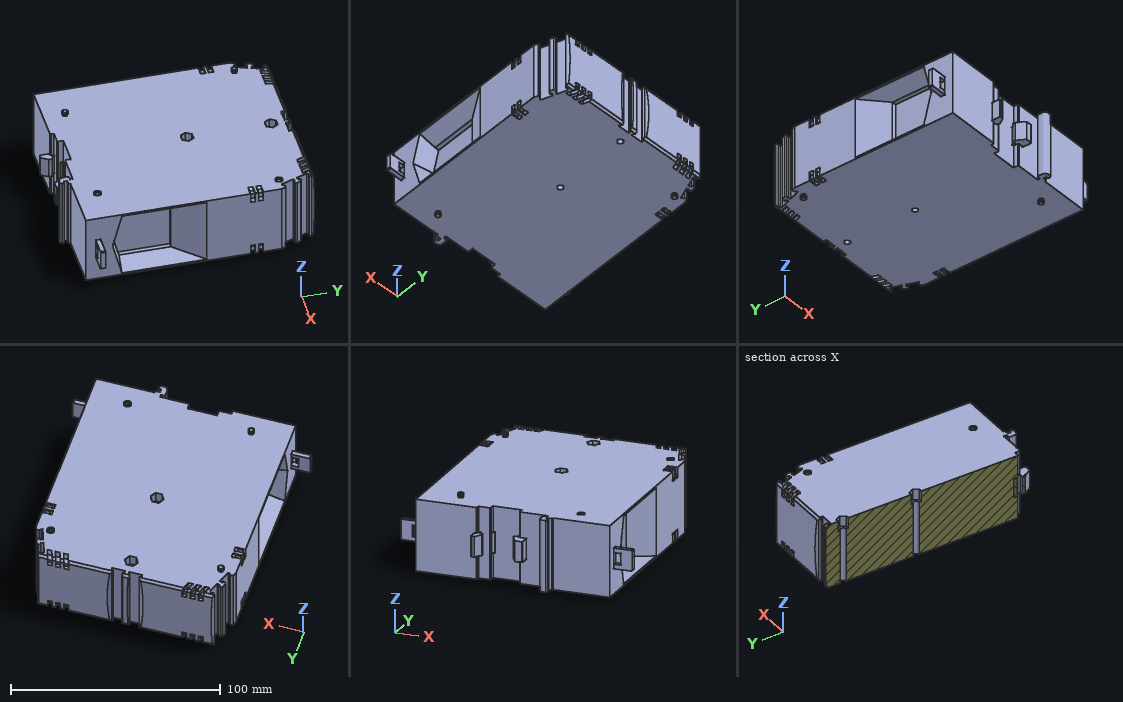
import cadquery as cq
import math

HALF_WIDTH = 50.0
HALF_HEIGHT = 18.3
CROWN_Y = 114.7
OUTSIDE = 1.2

SLOPE_ANGLE = 20.0
SHOULDER_FOOT = (-46.4, 97.8)
SHOULDER_TOP_Y = 111.3
CROWN_RISE = 0.5
END_CHAMFER = 1.2

RIB_NECK_WIDTH = 2.2
RIB_NECK_LENGTH = 1.4
RIB_HEAD_WIDTH = 3.6
RIB_HEAD_LENGTH = 1.9
RIB_HEAD_BEVEL = 0.7
SHOULDER_RIB_OFFSET = 7.7
END_GAP_HALF = 7.5
END_LIP_Y = 112.7

SEAT_Y = 1.9
SEAT_LEFT = -18.3
SEAT_RIGHT = 17.3
SLOT_Y = 4.9
SLOT_LEFT = -12.1
SLOT_RIGHT = 2.6
SEAT_BEVEL = 0.5

FOOT_LEFT = 15.2
FOOT_TIP = 19.6
FOOT_BOTTOM = -4.8
FOOT_RADIUS = 2.0
FOOT_STEM_RIGHT = 18.3
FOOT_TOE_Y = -2.8
FOOT_GROOVE_Y = -1.0

GROOVE_DEPTH = 1.02
END_GROOVE_DEPTH = 2.4
GROOVE_REACH = 5.0
SIDE_GROOVE_RAMP = 1.4
END_GROOVE_RAMP = 1.0
GROOVE_WIDTH = 2.3
GROOVE_PITCH = 4.1
SIDE_GROOVE_Y = (81.5, 85.4)
END_GROOVE_X = -40.6
END_GROOVE_COUNT = 3

POCKET_TAPER_DEPTH = 9.3
POCKET_STRAIGHT_DEPTH = 2.4
POCKET_TOP = 59.8
POCKET_RAMP = 15.4
POCKET_SHOULDER = 17.8
POCKET_POINT = 13.3
POCKET_HALF_HEIGHT = 17.3
POCKET_FLOOR_HALF_HEIGHT = 13.8
POCKET_END_DRAFT = 1.0
POCKET_POINT_DRAFT = 1.7

SCREW_Y = (62.9, 104.5)
SCREW_DIAMETER = 3.1
NUT_FLATS = 5.6
NUT_DEPTH = 6.0

UPPER_PIN = (42.6, 97.3)
LOWER_PIN = (31.0, 10.6)
PIN_NECK_DIAMETER = 2.4
PIN_HEAD_DIAMETER = 3.0
PIN_NECK_LENGTH = 0.8
PIN_LENGTH = 2.21
PIN_BEVEL = 0.4
SOCKET_DIAMETER = 3.6
SOCKET_BOTTOM_DIAMETER = 2.6
SOCKET_MOUTH_DEPTH = 0.8
SOCKET_DEPTH = 2.4

SLIDER_HALF_LENGTH = 59.53
SLIDER_HALF_HEIGHT = 5.3
SLIDER_BOTTOM = SLOT_Y
SLIDER_TOP = 7.3
SLIDER_RELIEF_Y = 5.6
TAB_CHAMFER = 0.5
WINDOW_END = 53.6
WINDOW_HALF_HEIGHT = 3.0


def prism(points, half_height):
    """Closed outline in XY, extruded equally above and below Z = 0."""
    return cq.Workplane("XY").polyline(points).close().extrude(half_height, both=True)


def mirrored(points):
    """The same points on the other side of X = 0, in reverse order."""
    return [(-x, y) for x, y in reversed(points)]


def housing_block():
    foot_x, foot_y = SHOULDER_FOOT
    shoulder_top_x = foot_x + (SHOULDER_TOP_Y - foot_y) * math.tan(math.radians(SLOPE_ANGLE))
    left_end = [
        (-HALF_WIDTH, 96.8),
        (-49.2, 99.0),
        (-47.7, 99.0),
        (-47.1, 98.1),
        SHOULDER_FOOT,
        (shoulder_top_x, SHOULDER_TOP_Y),
        (-42.0, 112.1),
        (-43.4, 112.0),
        (-44.3, 113.0),
        (-43.7, 114.0),
        (-43.1, CROWN_Y),
        (-9.0, CROWN_Y),
        (-6.9, 113.9),
        (-6.6, END_LIP_Y),
        (-END_GAP_HALF, END_LIP_Y),
        (-END_GAP_HALF, SHOULDER_TOP_Y),
    ]
    rail_side = [
        (HALF_WIDTH, 0),
        (20.9, 0),
        (20.3, FOOT_GROOVE_Y),
        (SEAT_RIGHT, FOOT_GROOVE_Y),
        (SEAT_RIGHT, SEAT_Y),
        (SLOT_RIGHT + SEAT_BEVEL, SEAT_Y),
        (SLOT_RIGHT, SEAT_Y + SEAT_BEVEL),
        (SLOT_RIGHT, SLOT_Y),
        (SLOT_LEFT, SLOT_Y),
        (SLOT_LEFT, SEAT_Y + SEAT_BEVEL),
        (SLOT_LEFT - SEAT_BEVEL, SEAT_Y),
        (SEAT_LEFT, SEAT_Y),
        (SEAT_LEFT, SEAT_BEVEL),
        (SEAT_LEFT - SEAT_BEVEL, 0),
        (-HALF_WIDTH, 0),
    ]
    return prism(left_end + mirrored(left_end) + rail_side, HALF_HEIGHT)


def rail_foot():
    return (
        cq.Workplane("XY")
        .moveTo(FOOT_STEM_RIGHT, FOOT_GROOVE_Y)
        .lineTo(FOOT_STEM_RIGHT, FOOT_TOE_Y)
        .lineTo(FOOT_TIP, FOOT_TOE_Y)
        .lineTo(FOOT_TIP, -3.8)
        .lineTo(19.0, FOOT_BOTTOM)
        .lineTo(FOOT_LEFT + FOOT_RADIUS, FOOT_BOTTOM)
        .radiusArc((FOOT_LEFT, FOOT_BOTTOM + FOOT_RADIUS), FOOT_RADIUS)
        .lineTo(FOOT_LEFT, 0.1)
        .lineTo(16.5, 0.6)
        .lineTo(SEAT_RIGHT, 0.6)
        .lineTo(SEAT_RIGHT, FOOT_GROOVE_Y)
        .close()
        .extrude(HALF_HEIGHT, both=True)
    )


def catch_rib(base, angle):
    """T-shaped rib standing on the point base; angle 0 points to +Y, positive turns to -X."""
    neck = RIB_NECK_WIDTH / 2
    head = RIB_HEAD_WIDTH / 2
    tip = RIB_NECK_LENGTH + RIB_HEAD_LENGTH
    right_half = [
        (neck, -OUTSIDE),
        (neck, RIB_NECK_LENGTH),
        (head, RIB_NECK_LENGTH),
        (head, tip - RIB_HEAD_BEVEL),
        (head - RIB_HEAD_BEVEL, tip),
    ]
    rib = prism(right_half + mirrored(right_half), HALF_HEIGHT)
    return rib.rotate((0, 0, 0), (0, 0, 1), angle).translate((base[0], base[1], 0))


def crowned_envelope():
    """Everything below the bulging, chamfered end face."""
    edge_y = CROWN_Y - CROWN_RISE
    edge_z = HALF_HEIGHT - END_CHAMFER
    return (
        cq.Workplane("YZ")
        .moveTo(FOOT_BOTTOM, -HALF_HEIGHT)
        .lineTo(edge_y - END_CHAMFER, -HALF_HEIGHT)
        .lineTo(edge_y, -edge_z)
        .threePointArc((CROWN_Y, 0), (edge_y, edge_z))
        .lineTo(edge_y - END_CHAMFER, HALF_HEIGHT)
        .lineTo(FOOT_BOTTOM, HALF_HEIGHT)
        .close()
        .extrude(HALF_WIDTH, both=True)
    )


def edge_groove(corner, inward, sweep, side, depth, ramp):
    """Groove over the edge at Z = side * HALF_HEIGHT, starting at the XY point corner.

    inward is the XY direction into the part and sweep the XY vector across the groove.
    depth is measured from the top or bottom face, ramp is the run of the sloping ends.
    """
    section = [
        (-OUTSIDE, -OUTSIDE),
        (GROOVE_REACH, -OUTSIDE),
        (GROOVE_REACH, 0),
        (GROOVE_REACH - ramp, depth),
        (GROOVE_DEPTH, depth),
        (GROOVE_DEPTH, GROOVE_REACH - ramp),
        (0, GROOVE_REACH),
        (-OUTSIDE, GROOVE_REACH),
    ]
    points = [
        cq.Vector(corner[0] + u * inward[0], corner[1] + u * inward[1], side * (HALF_HEIGHT - w))
        for u, w in section
    ]
    outline = cq.Wire.makePolygon(points, close=True)
    return cq.Solid.extrudeLinear(outline, [], cq.Vector(sweep[0], sweep[1], 0))


def all_grooves():
    slant = math.tan(math.radians(SLOPE_ANGLE))
    grooves = []
    for side in (-1, 1):
        for hand in (-1, 1):
            for y in SIDE_GROOVE_Y:
                corner = (hand * HALF_WIDTH, y)
                sweep = (0, GROOVE_WIDTH)
                groove = edge_groove(corner, (-hand, 0), sweep, side, GROOVE_DEPTH, SIDE_GROOVE_RAMP)
                grooves.append(groove)
            for i in range(END_GROOVE_COUNT):
                foot_x = -END_GROOVE_X - i * GROOVE_PITCH
                corner = (hand * (foot_x - GROOVE_REACH * slant), CROWN_Y - CROWN_RISE / 2)
                inward = (hand * slant, -1)
                sweep = (-hand * GROOVE_WIDTH, 0)
                groove = edge_groove(corner, inward, sweep, side, END_GROOVE_DEPTH, END_GROOVE_RAMP)
                grooves.append(groove)
    return grooves


def grip_pocket():
    """Tapered pocket in the -X side, pointed towards the rail."""
    def outline(x, top, shoulder, point, half_height):
        corners = [
            (top, -half_height),
            (shoulder, -half_height),
            (point, 0),
            (shoulder, half_height),
            (top, half_height),
        ]
        return cq.Wire.makePolygon([cq.Vector(x, y, z) for y, z in corners], close=True)

    mouth = outline(-HALF_WIDTH, POCKET_TOP, POCKET_SHOULDER, POCKET_POINT, POCKET_HALF_HEIGHT)
    floor = outline(
        POCKET_TAPER_DEPTH - HALF_WIDTH,
        POCKET_TOP - POCKET_RAMP,
        POCKET_SHOULDER + POCKET_END_DRAFT,
        POCKET_POINT + POCKET_POINT_DRAFT,
        POCKET_FLOOR_HALF_HEIGHT,
    )
    taper = cq.Workplane(cq.Solid.makeLoft([mouth, floor], True))
    straight = cq.Solid.extrudeLinear(floor, [], cq.Vector(POCKET_STRAIGHT_DEPTH, 0, 0))
    return taper.union(cq.Workplane(straight))


def screw_holes():
    places = [(0, y) for y in SCREW_Y]
    bores = (
        cq.Workplane("XY", origin=(0, 0, -HALF_HEIGHT))
        .pushPoints(places)
        .circle(SCREW_DIAMETER / 2)
        .extrude(2 * HALF_HEIGHT)
    )
    nuts = (
        cq.Workplane("XY", origin=(0, 0, HALF_HEIGHT - NUT_DEPTH))
        .pushPoints(places)
        .polygon(6, NUT_FLATS / math.cos(math.pi / 6))
        .extrude(NUT_DEPTH)
    )
    return bores.union(nuts)


def pin_sockets():
    """Stepped sockets in the top face, wide at the mouth."""
    places = [UPPER_PIN, LOWER_PIN]
    mouths = (
        cq.Workplane("XY", origin=(0, 0, HALF_HEIGHT - SOCKET_MOUTH_DEPTH))
        .pushPoints(places)
        .circle(SOCKET_DIAMETER / 2)
        .extrude(SOCKET_MOUTH_DEPTH)
    )
    bottoms = (
        cq.Workplane("XY", origin=(0, 0, HALF_HEIGHT - SOCKET_DEPTH))
        .pushPoints(places)
        .circle(SOCKET_BOTTOM_DIAMETER / 2)
        .extrude(SOCKET_DEPTH)
    )
    return mouths.union(bottoms)


def make_housing(slider):
    slope = math.radians(SLOPE_ANGLE)
    rib_x = SHOULDER_FOOT[0] + SHOULDER_RIB_OFFSET * math.sin(slope)
    rib_y = SHOULDER_FOOT[1] + SHOULDER_RIB_OFFSET * math.cos(slope)
    lean = 90 - SLOPE_ANGLE

    body = housing_block().union(rail_foot())
    body = body.union(catch_rib((0, SHOULDER_TOP_Y), 0))
    for hand in (-1, 1):
        body = body.union(catch_rib((hand * rib_x, rib_y), hand * lean))
    body = body.intersect(crowned_envelope())
    for groove in all_grooves():
        body = body.cut(cq.Workplane(groove))
    body = body.cut(grip_pocket()).cut(grip_pocket().mirror("YZ"))
    body = body.cut(screw_holes()).cut(pin_sockets())
    return body.cut(slider)


def make_slider():
    """Bar across the housing with a tab at each end and two rail hooks."""
    outline = [
        (-SLIDER_HALF_LENGTH, SLIDER_TOP),
        (-SLIDER_HALF_LENGTH, SLIDER_BOTTOM),
        (-19.7, SLIDER_BOTTOM),
        (-19.7, -4.4),
        (-19.3, -4.9),
        (-17.8, -4.9),
        (-15.4, -1.3),
        (-15.4, 0.2),
        (-17.5, 1.0),
        (-17.5, SLIDER_BOTTOM),
        (SLOT_LEFT, SLIDER_BOTTOM),
        (SLOT_LEFT, 3.4),
        (-11.0, 4.2),
        (-11.0, SLIDER_RELIEF_Y),
        (1.5, SLIDER_RELIEF_Y),
        (1.5, 2.9),
        (-0.4, 2.9),
        (-0.4, 1.5),
        (2.4, -3.2),
        (5.9, -3.2),
        (6.2, -2.9),
        (6.2, SLIDER_BOTTOM),
        (SLIDER_HALF_LENGTH, SLIDER_BOTTOM),
        (SLIDER_HALF_LENGTH, SLIDER_TOP),
    ]
    slider = prism(outline, SLIDER_HALF_HEIGHT)
    slider = slider.faces("<X or >X").edges("|Y").chamfer(TAB_CHAMFER)
    for hand in (-1, 1):
        window = cq.Workplane("XY").box(
            WINDOW_END - HALF_WIDTH, 2 * (SLIDER_TOP - SLIDER_BOTTOM), 2 * WINDOW_HALF_HEIGHT
        )
        slider = slider.cut(window.translate((hand * (WINDOW_END + HALF_WIDTH) / 2, SLIDER_TOP, 0)))
    return slider


def make_pin(place, side):
    """Headed pin standing on the top (side 1) or bottom (side -1) of the housing."""
    neck = PIN_NECK_DIAMETER / 2
    head = PIN_HEAD_DIAMETER / 2
    profile = [
        (0, 0),
        (neck, 0),
        (neck, PIN_NECK_LENGTH),
        (head, PIN_NECK_LENGTH),
        (head, PIN_LENGTH - PIN_BEVEL),
        (head - PIN_BEVEL, PIN_LENGTH),
        (0, PIN_LENGTH),
    ]
    pin = cq.Workplane("XZ").polyline(profile).close().revolve(360, (0, 0, 0), (0, 1, 0))
    if side < 0:
        pin = pin.mirror("XY")
    return pin.translate((place[0], place[1], side * HALF_HEIGHT))


slider = make_slider()
housing = make_housing(slider)

upper_left = (-UPPER_PIN[0], UPPER_PIN[1])
lower_left = (-LOWER_PIN[0], LOWER_PIN[1])
pin_places = [(upper_left, 1), (lower_left, 1), (upper_left, -1), (LOWER_PIN, -1)]
pins = [make_pin(place, side).val() for place, side in pin_places]

result = cq.Compound.makeCompound([housing.val(), slider.val(), *pins])